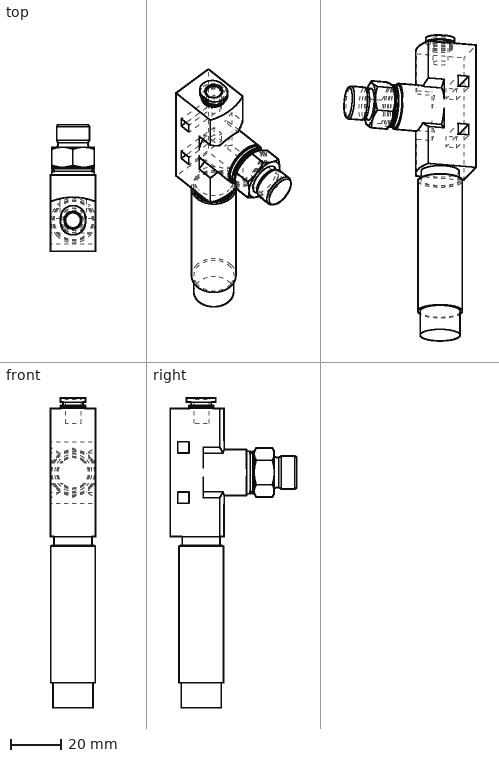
import cadquery as cq
import math


body_width = 18.0
body_height = 51.0
body_front_y = -12.35
body_rear_y = 9.2
rear_corner_y = 7.4
half_width = body_width / 2
body_top_z = body_height / 2
body_bottom_z = -body_height / 2

mount_hole_side = 4.4
mount_hole_y = -7.1
mount_hole_spacing = 20.0

boss_diameter = 18.4
boss_end_y = 18.2
boss_end_chamfer = 0.2
relief_start_y = 0.9
relief_mouth_z = 10.1
relief_inner_x = 5.2
boss_radius = boss_diameter / 2

seal_ring_diameter = 17.0
seal_ring_end_y = 19.5
hex_across_flats = 17.0
hex_start_y = 21.15
hex_end_y = 29.1
hex_chamfer_angle = 30.0
hex_collar_start_y = 20.5
hex_collar_taper = 1.1
seal_seat_diameter = 15.0
undercut_diameter = 12.0
undercut_flare_diameter = 12.7
undercut_flare_mid_y = 29.8
undercut_flare_mid_diameter = 12.2
undercut_end_y = 30.9
thread_start_y = 31.9
thread_diameter = 13.16
thread_chamfer_length = 0.8
thread_chamfer_depth = 0.5
fitting_end_y = 38.1

overall_height = 123.5
sleeve_diameter = 17.8
sleeve_top_gap = 3.55
sleeve_chamfer = 0.7
sleeve_chamfer_height = 0.35
sleeve_neck_diameter = 15.2
sleeve_tip_diameter = 16.0
sleeve_tip_length = 10.0

collar_length = 11.7
collar_width = 10.0
collar_thickness = 1.7
connector_height = 4.2
connector_neck_diameter = 8.1
connector_ring_diameter = 10.0
connector_ring_base_z = body_top_z + 0.75
connector_ring_top_z = body_top_z + 1.35
connector_ring_chamfer_height = 0.4
connector_base_diameter = 9.5
tube_bore_diameter = 6.0
tube_bore_depth = 10.0
tube_bore_chamfer = 0.5
connector_top_z = body_top_z + connector_height


def rod_z(diameter, bottom_z, top_z):
    """Upright cylinder on the sleeve axis."""
    return cq.Workplane("XY", origin=(0, 0, bottom_z)).circle(diameter / 2).extrude(top_z - bottom_z)


def turned_y(profile):
    """Solid of revolution about the port axis from (radius, y) points."""
    return cq.Workplane("XY").polyline(profile).close().revolve(360, (0, 0), (0, 1))


def make_body():
    body = (
        cq.Workplane("XY", origin=(0, 0, body_bottom_z))
        .moveTo(-half_width, body_front_y)
        .lineTo(half_width, body_front_y)
        .lineTo(half_width, rear_corner_y)
        .threePointArc((0, body_rear_y), (-half_width, rear_corner_y))
        .close()
        .extrude(body_height)
    )
    mount_holes = (
        cq.Workplane("YZ")
        .pushPoints([(mount_hole_y, side * mount_hole_spacing / 2) for side in (-1, 1)])
        .rect(mount_hole_side, mount_hole_side)
        .extrude(half_width, both=True)
    )
    return body.cut(mount_holes)


def make_reliefs():
    """Dovetail-like pockets at both sides, flaring outward around the boss."""
    inner_z = math.sqrt(boss_radius**2 - relief_inner_x**2)
    relief_length = body_rear_y - relief_start_y
    relief = (
        cq.Workplane("XZ", origin=(0, body_rear_y, 0))
        .polyline([
            (-half_width, -relief_mouth_z),
            (-relief_inner_x, -inner_z),
            (-relief_inner_x, inner_z),
            (-half_width, relief_mouth_z),
        ])
        .close()
        .extrude(relief_length)
    )
    return relief.union(relief.mirror("YZ"))


def make_boss():
    """Port boss, flattened flush with the sides of the body."""
    boss_length = boss_end_y - relief_start_y
    boss = cq.Workplane("XZ", origin=(0, boss_end_y, 0)).circle(boss_radius).extrude(boss_length)
    boss = boss.faces(">Y").chamfer(boss_end_chamfer)
    side_trim = cq.Workplane("XY").box(body_width, 4 * boss_end_y, 2 * boss_diameter)
    return boss.intersect(side_trim)


def make_hex():
    """Hexagon with flats facing +X and -X and turned chamfers at both ends."""
    flat_radius = hex_across_flats / 2
    corner_radius = flat_radius / math.cos(math.radians(30))
    chamfer_length = (corner_radius - flat_radius) * math.tan(math.radians(hex_chamfer_angle))
    prism = (
        cq.Workplane("XZ", origin=(0, hex_end_y, 0))
        .transformed(rotate=(0, 0, 90))
        .polygon(6, 2 * corner_radius)
        .extrude(hex_end_y - hex_start_y)
    )
    envelope = turned_y([
        (0, hex_start_y),
        (flat_radius, hex_start_y),
        (corner_radius, hex_start_y + chamfer_length),
        (corner_radius, hex_end_y - chamfer_length),
        (flat_radius, hex_end_y),
        (0, hex_end_y),
    ])
    return prism.intersect(envelope)


def make_stem():
    """Seal ring and the tapered collar under the hexagon."""
    collar_radius = hex_across_flats / 2
    return turned_y([
        (0, relief_start_y),
        (seal_seat_diameter / 2, relief_start_y),
        (seal_seat_diameter / 2, boss_end_y),
        (seal_ring_diameter / 2, boss_end_y),
        (seal_ring_diameter / 2, seal_ring_end_y),
        (collar_radius - hex_collar_taper, seal_ring_end_y),
        (collar_radius, hex_collar_start_y),
        (collar_radius, hex_start_y),
        (0, hex_start_y),
    ])


def make_thread():
    """Plain thread cylinder with a flared undercut next to the hexagon."""
    thread_radius = thread_diameter / 2
    return (
        cq.Workplane("XY")
        .moveTo(0, hex_end_y)
        .lineTo(undercut_flare_diameter / 2, hex_end_y)
        .threePointArc(
            (undercut_flare_mid_diameter / 2, undercut_flare_mid_y),
            (undercut_diameter / 2, undercut_end_y),
        )
        .lineTo(thread_radius, thread_start_y)
        .lineTo(thread_radius, fitting_end_y - thread_chamfer_length)
        .lineTo(thread_radius - thread_chamfer_depth, fitting_end_y)
        .lineTo(0, fitting_end_y)
        .close()
        .revolve(360, (0, 0), (0, 1))
    )


def make_sleeve():
    sleeve_top_z = body_bottom_z - sleeve_top_gap
    tip_bottom_z = connector_top_z - overall_height
    sleeve_bottom_z = tip_bottom_z + sleeve_tip_length
    neck = rod_z(sleeve_neck_diameter, sleeve_top_z, body_bottom_z)
    sleeve = rod_z(sleeve_diameter, sleeve_bottom_z, sleeve_top_z)
    sleeve = sleeve.faces(">Z").chamfer(sleeve_chamfer_height, sleeve_chamfer)
    tip = rod_z(sleeve_tip_diameter, tip_bottom_z, sleeve_bottom_z)
    return neck.union(sleeve).union(tip)


def make_connector():
    collar_bottom_z = connector_top_z - collar_thickness
    base = rod_z(connector_base_diameter, body_top_z, connector_ring_base_z)
    ring = rod_z(connector_ring_diameter, connector_ring_base_z, connector_ring_top_z)
    ring_chamfer_depth = (connector_ring_diameter - connector_base_diameter) / 2
    ring = ring.faces(">Z").chamfer(connector_ring_chamfer_height, ring_chamfer_depth)
    neck = rod_z(connector_neck_diameter, connector_ring_top_z, collar_bottom_z)
    collar = (
        cq.Workplane("XY", origin=(0, 0, collar_bottom_z))
        .slot2D(collar_length, collar_width, 90)
        .extrude(collar_thickness)
    )
    return base.union(ring).union(neck).union(collar)


def make_tube_bore():
    """Blind tube socket with a countersunk mouth."""
    bore_radius = tube_bore_diameter / 2
    return (
        cq.Workplane("XZ")
        .polyline([
            (0, connector_top_z - tube_bore_depth),
            (bore_radius, connector_top_z - tube_bore_depth),
            (bore_radius, connector_top_z - tube_bore_chamfer),
            (bore_radius + tube_bore_chamfer, connector_top_z),
            (0, connector_top_z),
        ])
        .close()
        .revolve(360, (0, 0), (0, 1))
    )


result = (
    make_body()
    .cut(make_reliefs())
    .union(make_boss())
    .union(make_stem())
    .union(make_hex())
    .union(make_thread())
    .union(make_sleeve())
    .union(make_connector())
    .cut(make_tube_bore())
)